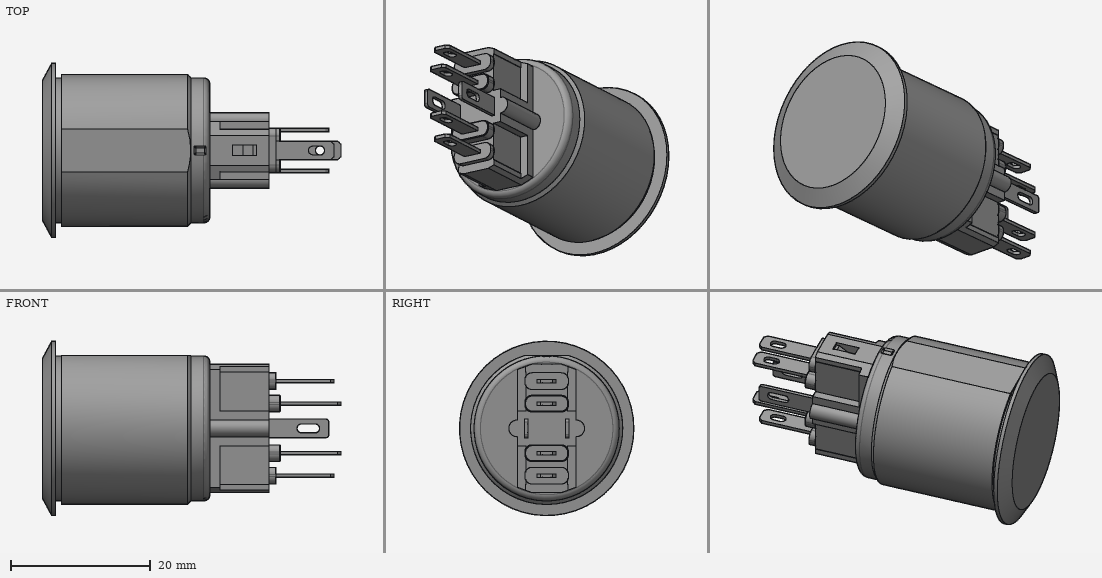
import cadquery as cq
import math


FACE_RADIUS = 10.0
BEZEL_RADIUS = 12.5
BEZEL_RIM_X = 1.35
BEZEL_BACK_X = 1.9
NECK_RADIUS = 10.4
BARREL_RADIUS = 10.9
BARREL_FRONT_X = 2.75
BARREL_REAR_X = 21.3
BARREL_CHAMFER = BARREL_RADIUS - NECK_RADIUS
BARREL_FLAT_Z = 10.45
CAP_REAR_X = 24.0
CAP_FILLET = 0.9

NOTCH_FLOOR_FRONT_X = 22.0
NOTCH_FLOOR_REAR_X = 23.25
NOTCH_FLOOR_WIDTH = 0.76
NOTCH_FLOOR_Z = 10.1
NOTCH_WALL_ANGLE = 45.0

BLOCK_REAR_X = 32.5
BLOCK_HALF_HEIGHT = 9.2
BLOCK_SHOULDER_Z = 8.44
BLOCK_HALF_WIDTH = 4.18
BLOCK_TOP_HALF_WIDTH = 2.13
COLLAR_REAR_X = 25.45
RIB_HALF_HEIGHT = 2.5
POCKET_HALF_WIDTH = 3.05
PANEL_OUTER_Z = 8.05
PANEL_DEPTH = 0.08
ROD_RADIUS = 1.2
ROD_CENTER_Y = 4.22

WINDOW_FRONT_X = 27.25
WINDOW_REAR_X = 30.65
WINDOW_WIDTH = 1.5
WINDOW_DEPTH = 1.4
RAMP_FRONT_X = 28.75
RAMP_REAR_X = 30.2
LEDGE_DEPTH = 0.45

BLADE_WIDTH = 2.7
BLADE_THICKNESS = 0.52
BLADE_EMBED = 1.0
TIP_CHAMFER = 0.5
HOLE_WIDTH = 1.24
BOSS_HALF_WIDTH = 3.13
BOSS_HEIGHT = 2.4
BOSS_CORNER_RADIUS = 1.05
INNER_BOSS_CHAMFER = 0.12

OUTER_TERMINAL_Z = 6.77
OUTER_BOSS_REAR_X = 33.45
OUTER_TIP_X = 41.8
INNER_TERMINAL_Z = 3.55
INNER_BOSS_REAR_X = 34.1
INNER_TIP_X = 42.81
CONTACT_HOLE_LENGTH = 2.28
CONTACT_HOLE_SETBACK = 2.54

SIDE_TERMINAL_Y = 2.94
SIDE_TIP_X = 41.05
SIDE_HOLE_LENGTH = 3.2
SIDE_HOLE_SETBACK = 2.95
SIDE_CORNER_RADIUS = 0.45


def box(x_range, y_range, z_range):
    """Box spanning the given (low, high) range on each axis."""
    (x0, x1), (y0, y1), (z0, z1) = x_range, y_range, z_range
    return cq.Workplane("XY").box(x1 - x0, y1 - y0, z1 - z0, centered=False).translate((x0, y0, z0))


def housing():
    """Bezel, neck, barrel and rear cap turned about the X axis, with a flat on the barrel."""
    fillet_mid = CAP_FILLET * math.sqrt(0.5)
    fillet_x = CAP_REAR_X - CAP_FILLET
    fillet_r = NECK_RADIUS - CAP_FILLET
    turned = (
        cq.Workplane("XY")
        .lineTo(0, FACE_RADIUS)
        .lineTo(BEZEL_RIM_X, BEZEL_RADIUS)
        .lineTo(BEZEL_BACK_X, BEZEL_RADIUS)
        .lineTo(BEZEL_BACK_X, NECK_RADIUS)
        .lineTo(BARREL_FRONT_X, NECK_RADIUS)
        .lineTo(BARREL_FRONT_X, BARREL_RADIUS)
        .lineTo(BARREL_REAR_X - BARREL_CHAMFER, BARREL_RADIUS)
        .lineTo(BARREL_REAR_X, NECK_RADIUS)
        .lineTo(fillet_x, NECK_RADIUS)
        .threePointArc((fillet_x + fillet_mid, fillet_r + fillet_mid), (CAP_REAR_X, fillet_r))
        .lineTo(CAP_REAR_X, 0)
        .close()
        .revolve(360, (0, 0, 0), (1, 0, 0))
    )
    flat_cutter = box(
        (BARREL_FRONT_X, BARREL_REAR_X),
        (-BARREL_RADIUS, BARREL_RADIUS),
        (BARREL_FLAT_Z, BEZEL_RADIUS),
    )
    return turned.cut(flat_cutter)


def cap_notch():
    """Cutter for the cap notch, widening upward from a flat floor."""
    floor_length = NOTCH_FLOOR_REAR_X - NOTCH_FLOOR_FRONT_X
    floor_center = ((NOTCH_FLOOR_FRONT_X + NOTCH_FLOOR_REAR_X) / 2, 0, NOTCH_FLOOR_Z)
    return (
        cq.Workplane("XY", origin=floor_center)
        .rect(floor_length, NOTCH_FLOOR_WIDTH)
        .extrude(NECK_RADIUS - NOTCH_FLOOR_Z, taper=-NOTCH_WALL_ANGLE)
    )


def latch_window():
    """Cutter for the latch window: a deep floor, a rising ramp and a shallow ledge."""
    floor_z = BLOCK_HALF_HEIGHT - WINDOW_DEPTH
    ledge_z = BLOCK_HALF_HEIGHT - LEDGE_DEPTH
    return (
        cq.Workplane("XZ")
        .moveTo(WINDOW_FRONT_X, BLOCK_HALF_HEIGHT)
        .lineTo(WINDOW_FRONT_X, floor_z)
        .lineTo(RAMP_FRONT_X, floor_z)
        .lineTo(RAMP_REAR_X, ledge_z)
        .lineTo(WINDOW_REAR_X, ledge_z)
        .lineTo(WINDOW_REAR_X, BLOCK_HALF_HEIGHT)
        .close()
        .extrude(WINDOW_WIDTH / 2, both=True)
    )


def corner_pocket():
    """Cutter for the +Y +Z corner behind the collar, with a slightly deeper side panel."""
    length = (COLLAR_REAR_X, BLOCK_REAR_X)
    pocket = box(length, (POCKET_HALF_WIDTH, BLOCK_HALF_WIDTH), (RIB_HALF_HEIGHT, BLOCK_HALF_HEIGHT))
    panel = box(
        length,
        (POCKET_HALF_WIDTH - PANEL_DEPTH, BLOCK_HALF_WIDTH),
        (RIB_HALF_HEIGHT, PANEL_OUTER_Z),
    )
    return pocket.union(panel)


def contact_block():
    """Chamfered block with four corner pockets, two side rods and the latch window."""
    length = BLOCK_REAR_X - CAP_REAR_X
    block = (
        cq.Workplane("YZ", origin=(CAP_REAR_X, 0, 0))
        .polyline([
            (BLOCK_TOP_HALF_WIDTH, BLOCK_HALF_HEIGHT),
            (BLOCK_HALF_WIDTH, BLOCK_SHOULDER_Z),
            (BLOCK_HALF_WIDTH, -BLOCK_SHOULDER_Z),
            (BLOCK_TOP_HALF_WIDTH, -BLOCK_HALF_HEIGHT),
            (-BLOCK_TOP_HALF_WIDTH, -BLOCK_HALF_HEIGHT),
            (-BLOCK_HALF_WIDTH, -BLOCK_SHOULDER_Z),
            (-BLOCK_HALF_WIDTH, BLOCK_SHOULDER_Z),
            (-BLOCK_TOP_HALF_WIDTH, BLOCK_HALF_HEIGHT),
        ])
        .close()
        .extrude(length)
    )
    upper_pockets = corner_pocket().union(corner_pocket().mirror("XZ"))
    block = block.cut(upper_pockets).cut(upper_pockets.mirror("XY"))
    rods = (
        cq.Workplane("YZ", origin=(CAP_REAR_X, 0, 0))
        .pushPoints([(-ROD_CENTER_Y, 0), (ROD_CENTER_Y, 0)])
        .circle(ROD_RADIUS)
        .extrude(length)
    )
    return block.union(rods).cut(latch_window())


def blade(tip_x, hole_length, hole_setback):
    """Flat terminal blade in the XY plane with a slotted hole, its root sunk in the block."""
    root_x = BLOCK_REAR_X - BLADE_EMBED
    strip = box(
        (root_x, tip_x),
        (-BLADE_WIDTH / 2, BLADE_WIDTH / 2),
        (-BLADE_THICKNESS / 2, BLADE_THICKNESS / 2),
    )
    hole = (
        cq.Workplane("XY")
        .center(tip_x - hole_setback, 0)
        .slot2D(hole_length, HOLE_WIDTH)
        .extrude(BLADE_THICKNESS, both=True)
    )
    return strip.cut(hole)


def contact_terminal(tip_x, boss_rear_x, boss_chamfer=0):
    """Horizontal blade with clipped tip corners in a rounded boss, chamfered if asked."""
    boss = (
        cq.Workplane("YZ", origin=(BLOCK_REAR_X, 0, 0))
        .rect(2 * BOSS_HALF_WIDTH, BOSS_HEIGHT)
        .extrude(boss_rear_x - BLOCK_REAR_X)
        .edges("|X")
        .fillet(BOSS_CORNER_RADIUS)
    )
    if boss_chamfer:
        boss = boss.faces(">X").edges().chamfer(boss_chamfer)
    strip = blade(tip_x, CONTACT_HOLE_LENGTH, CONTACT_HOLE_SETBACK)
    return boss.union(strip.edges("|Z and >X").chamfer(TIP_CHAMFER))


def side_terminal():
    """Upright blade with rounded tip corners, centred on the X axis."""
    strip = blade(SIDE_TIP_X, SIDE_HOLE_LENGTH, SIDE_HOLE_SETBACK)
    rounded = strip.edges("|Z and >X").fillet(SIDE_CORNER_RADIUS)
    return rounded.rotate((0, 0, 0), (1, 0, 0), 90)


outer_terminal = contact_terminal(OUTER_TIP_X, OUTER_BOSS_REAR_X)
inner_terminal = contact_terminal(INNER_TIP_X, INNER_BOSS_REAR_X, INNER_BOSS_CHAMFER)
upright_terminal = side_terminal()

result = housing().cut(cap_notch()).union(contact_block())
for side in (-1, 1):
    result = result.union(outer_terminal.translate((0, 0, side * OUTER_TERMINAL_Z)))
    result = result.union(inner_terminal.translate((0, 0, side * INNER_TERMINAL_Z)))
    result = result.union(upright_terminal.translate((0, side * SIDE_TERMINAL_Y, 0)))